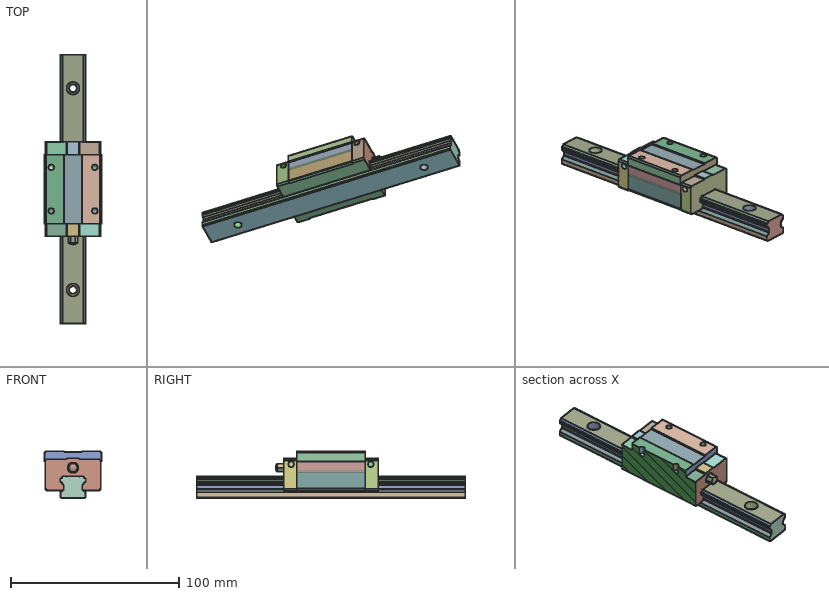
import cadquery as cq
import math

RAIL_LENGTH = 160.0
RAIL_HEIGHT = 13.0
RAIL_HALF_WIDTH = 7.5
UPPER_TRACK_RADIUS = 1.1
LOWER_TRACK_RADIUS = 1.0
TRACK_BEVEL_WIDTH = 0.2
TRACK_BEVEL_HEIGHT = 0.5
HEAD_BOTTOM_Z = 9.6
WAIST_HALF_WIDTH = 5.5
WAIST_TOP_Z = 7.7
WAIST_BOTTOM_Z = 5.6
FOOT_SLOPE_TOP_Z = 5.1
FOOT_SLOPE_TOP_HALF_WIDTH = 5.6
FOOT_TOP_Z = 3.4
FOOT_CHAMFER = 0.6

RAIL_BOLT_DIAMETER = 4.5
RAIL_COUNTERBORE_DIAMETER = 7.5
RAIL_COUNTERBORE_DEPTH = 5.3
RAIL_BOLT_SPACING = 120.0

TOTAL_HEIGHT = 28.0
CARRIAGE_LENGTH = 56.3
CARRIAGE_BOTTOM_Z = 4.5

BLOCK_WIDTH = 34.0
BLOCK_LENGTH = 41.0
BLOCK_SIDE_HALF_WIDTH = 16.5
BLOCK_SKIRT_HALF_WIDTH = 16.3
BLOCK_LEDGE_Z = 21.6
BLOCK_SIDE_BOTTOM_Z = 22.0
SKIRT_STEP_TOP_Z = 16.3
SKIRT_STEP_BOTTOM_Z = 15.4
BLOCK_TOP_CHAMFER = 1.0
BLOCK_BOTTOM_CHAMFER = 1.0
SKIRT_BEVEL_WIDTH = 0.2
SKIRT_BEVEL_HEIGHT = 0.5
TOP_GROOVE_WIDTH = 11.2
TOP_GROOVE_DEPTH = 0.5

CAP_WIDTH = 33.3
CAP_TOP_Z = 23.2
CAP_CHAMFER = 1.0
CAP_RIDGE_WIDTH = 8.0
CAP_RIDGE_HEIGHT = 0.5
CAP_LENGTH = (CARRIAGE_LENGTH - BLOCK_LENGTH) / 2

MOUNT_HOLE_DIAMETER = 3.4
MOUNT_HOLE_DEPTH = 5.0
MOUNT_HOLE_SPACING = 26.0
DRILL_POINT_ANGLE = 118.0

CAP_HOLE_DIAMETER = 3.4
CAP_HOLE_DEPTH = 3.2
CAP_HOLE_Z = 20.2
CAP_HOLE_SPACING = 47.4

NIPPLE_Z = 18.0
NIPPLE_HEX_ACROSS_FLATS = 5.0
NIPPLE_PROTRUSION = 4.8
NIPPLE_DOME_RADIUS = 3.8
NIPPLE_RECESS_DIAMETER = 6.2
NIPPLE_RECESS_DEPTH = 1.6


def extrude_along_y(profile, length, center_y=0.0):
    """Extrude a closed XZ profile by length, centred on center_y."""
    return profile.extrude(length / 2, both=True).translate((0, center_y, 0))


def rail_profile():
    """Closed XZ outline of the rail with its two pairs of ball tracks."""
    track_edge_x = RAIL_HALF_WIDTH - TRACK_BEVEL_WIDTH
    upper_track_x = track_edge_x - UPPER_TRACK_RADIUS
    upper_track_z = RAIL_HEIGHT - UPPER_TRACK_RADIUS
    lower_track_x = track_edge_x - LOWER_TRACK_RADIUS
    lower_track_z = HEAD_BOTTOM_Z - LOWER_TRACK_RADIUS
    diagonal = math.sqrt(0.5)
    lower_track_mid = (
        track_edge_x - LOWER_TRACK_RADIUS * diagonal,
        lower_track_z + LOWER_TRACK_RADIUS * diagonal,
    )
    upper_track_mid = (
        track_edge_x - UPPER_TRACK_RADIUS * diagonal,
        RAIL_HEIGHT - UPPER_TRACK_RADIUS * diagonal,
    )
    return (
        cq.Workplane("XZ")
        .moveTo(0, 0)
        .lineTo(RAIL_HALF_WIDTH - FOOT_CHAMFER, 0)
        .lineTo(RAIL_HALF_WIDTH, FOOT_CHAMFER)
        .lineTo(RAIL_HALF_WIDTH, FOOT_TOP_Z)
        .lineTo(FOOT_SLOPE_TOP_HALF_WIDTH, FOOT_SLOPE_TOP_Z)
        .lineTo(WAIST_HALF_WIDTH, WAIST_BOTTOM_Z)
        .lineTo(WAIST_HALF_WIDTH, WAIST_TOP_Z)
        .lineTo(lower_track_x, lower_track_z)
        .threePointArc(lower_track_mid, (track_edge_x, HEAD_BOTTOM_Z))
        .lineTo(RAIL_HALF_WIDTH, HEAD_BOTTOM_Z + TRACK_BEVEL_HEIGHT)
        .lineTo(RAIL_HALF_WIDTH, upper_track_z - TRACK_BEVEL_HEIGHT)
        .lineTo(track_edge_x, upper_track_z)
        .threePointArc(upper_track_mid, (upper_track_x, RAIL_HEIGHT))
        .lineTo(0, RAIL_HEIGHT)
        .mirrorY()
    )


def make_rail():
    """Rail with counterbored bolt holes."""
    rail = extrude_along_y(rail_profile(), RAIL_LENGTH)
    return (
        rail.faces(">Z")
        .workplane(origin=(0, 0, RAIL_HEIGHT))
        .rarray(1.6, RAIL_BOLT_SPACING, 1, 2)
        .cboreHole(RAIL_BOLT_DIAMETER, RAIL_COUNTERBORE_DIAMETER, RAIL_COUNTERBORE_DEPTH)
    )


def make_block():
    """Centre block with a wide head, a narrower skirt and a shallow groove along its top."""
    half_width = BLOCK_WIDTH / 2
    skirt_bevel_x = BLOCK_SKIRT_HALF_WIDTH - SKIRT_BEVEL_WIDTH
    skirt_bevel_z = CARRIAGE_BOTTOM_Z + BLOCK_BOTTOM_CHAMFER
    profile = (
        cq.Workplane("XZ")
        .moveTo(0, CARRIAGE_BOTTOM_Z)
        .lineTo(skirt_bevel_x - BLOCK_BOTTOM_CHAMFER, CARRIAGE_BOTTOM_Z)
        .lineTo(skirt_bevel_x, skirt_bevel_z)
        .lineTo(BLOCK_SKIRT_HALF_WIDTH, skirt_bevel_z + SKIRT_BEVEL_HEIGHT)
        .lineTo(BLOCK_SKIRT_HALF_WIDTH, SKIRT_STEP_BOTTOM_Z)
        .lineTo(BLOCK_SIDE_HALF_WIDTH, SKIRT_STEP_TOP_Z)
        .lineTo(BLOCK_SIDE_HALF_WIDTH, BLOCK_LEDGE_Z)
        .lineTo(half_width, BLOCK_SIDE_BOTTOM_Z)
        .lineTo(half_width, TOTAL_HEIGHT - BLOCK_TOP_CHAMFER)
        .lineTo(half_width - BLOCK_TOP_CHAMFER, TOTAL_HEIGHT)
        .lineTo(TOP_GROOVE_WIDTH / 2, TOTAL_HEIGHT)
        .lineTo(TOP_GROOVE_WIDTH / 2 - TOP_GROOVE_DEPTH, TOTAL_HEIGHT - TOP_GROOVE_DEPTH)
        .lineTo(0, TOTAL_HEIGHT - TOP_GROOVE_DEPTH)
        .mirrorY()
    )
    return extrude_along_y(profile, BLOCK_LENGTH)


def make_end_cap(center_y):
    """End section of the carriage with a low raised ridge along the middle of its top."""
    half_width = CAP_WIDTH / 2
    profile = (
        cq.Workplane("XZ")
        .moveTo(0, CARRIAGE_BOTTOM_Z)
        .lineTo(half_width - CAP_CHAMFER, CARRIAGE_BOTTOM_Z)
        .lineTo(half_width, CARRIAGE_BOTTOM_Z + CAP_CHAMFER)
        .lineTo(half_width, CAP_TOP_Z - CAP_CHAMFER)
        .lineTo(half_width - CAP_CHAMFER, CAP_TOP_Z)
        .lineTo(CAP_RIDGE_WIDTH / 2, CAP_TOP_Z)
        .lineTo(CAP_RIDGE_WIDTH / 2 - CAP_RIDGE_HEIGHT, CAP_TOP_Z + CAP_RIDGE_HEIGHT)
        .lineTo(0, CAP_TOP_Z + CAP_RIDGE_HEIGHT)
        .mirrorY()
    )
    return extrude_along_y(profile, CAP_LENGTH, center_y)


def mounting_holes():
    """Four blind holes in the top of the block, each ending in a drill point."""
    radius = MOUNT_HOLE_DIAMETER / 2
    point_depth = radius / math.tan(math.radians(DRILL_POINT_ANGLE / 2))
    drill = (
        cq.Workplane("XZ")
        .polyline([
            (0, 0),
            (radius, 0),
            (radius, -MOUNT_HOLE_DEPTH),
            (0, -MOUNT_HOLE_DEPTH - point_depth),
        ])
        .close()
        .revolve(360, (0, 0), (0, 1))
        .val()
    )
    return (
        cq.Workplane("XY", origin=(0, 0, TOTAL_HEIGHT))
        .rarray(MOUNT_HOLE_SPACING, MOUNT_HOLE_SPACING, 2, 2)
        .eachpoint(lambda place: drill.moved(place))
    )


def cap_side_holes():
    """Blind flat-bottomed holes in both side faces of both end caps."""
    core_width = CAP_WIDTH - 2 * CAP_HOLE_DEPTH
    bores = (
        cq.Workplane("YZ", origin=(0, 0, CAP_HOLE_Z))
        .rarray(CAP_HOLE_SPACING, 1.6, 2, 1)
        .circle(CAP_HOLE_DIAMETER / 2)
        .extrude(CAP_WIDTH / 2, both=True)
    )
    core = cq.Workplane("XY").box(core_width, CARRIAGE_LENGTH, 2 * TOTAL_HEIGHT)
    return bores.cut(core)


def nipple_recess():
    """Round recess in the front end cap around the root of the grease nipple."""
    return (
        cq.Workplane("XZ", origin=(0, -CARRIAGE_LENGTH / 2, NIPPLE_Z))
        .circle(NIPPLE_RECESS_DIAMETER / 2)
        .extrude(-NIPPLE_RECESS_DEPTH)
    )


def make_nipple():
    """Hexagon standing on the recess floor, its free end trimmed to a dome."""
    root = cq.Workplane("XZ", origin=(0, NIPPLE_RECESS_DEPTH - CARRIAGE_LENGTH / 2, NIPPLE_Z))
    length = NIPPLE_RECESS_DEPTH + NIPPLE_PROTRUSION
    corner_diameter = NIPPLE_HEX_ACROSS_FLATS / math.cos(math.radians(30))
    hexagon = root.polygon(6, corner_diameter).extrude(length)
    dome_center = length - NIPPLE_DOME_RADIUS
    barrel = root.circle(NIPPLE_DOME_RADIUS).extrude(dome_center)
    dome = root.workplane(offset=dome_center).sphere(NIPPLE_DOME_RADIUS)
    return hexagon.intersect(barrel.union(dome))


def make_carriage():
    """Block and both end caps as one body, hollowed to fit the rail and the nipple."""
    cap_y = (BLOCK_LENGTH + CAP_LENGTH) / 2
    carriage = make_block()
    for side in (-1, 1):
        carriage = carriage.union(make_end_cap(side * cap_y))
    rail_channel = extrude_along_y(rail_profile(), RAIL_LENGTH)
    for cutter in (rail_channel, mounting_holes(), cap_side_holes(), nipple_recess()):
        carriage = carriage.cut(cutter)
    return carriage


rail = make_rail()
carriage = make_carriage()
nipple = make_nipple()

result = cq.Compound.makeCompound([rail.val(), carriage.val(), nipple.val()])